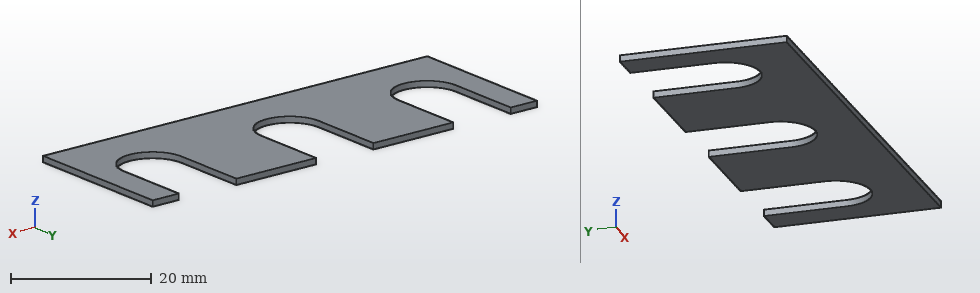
import cadquery as cq

length = 70.0
depth = 25.0
thickness = 1.0

slot_count = 3
slot_pitch = depth
slot_width = 10.4
slot_radius = slot_width / 2
slot_center_y = 0.0


def slot_cutter(center_x):
    """Round-ended slot that runs out through the +Y edge of the plate."""
    back_y = depth / 2
    left_x = center_x - slot_radius
    right_x = center_x + slot_radius
    return (
        cq.Workplane("XY")
        .moveTo(left_x, back_y)
        .lineTo(left_x, slot_center_y)
        .threePointArc((center_x, slot_center_y - slot_radius), (right_x, slot_center_y))
        .lineTo(right_x, back_y)
        .close()
        .extrude(thickness)
    )


result = cq.Workplane("XY").box(length, depth, thickness, centered=(True, True, False))
for index in range(slot_count):
    slot_x = (index - (slot_count - 1) / 2) * slot_pitch
    result = result.cut(slot_cutter(slot_x))